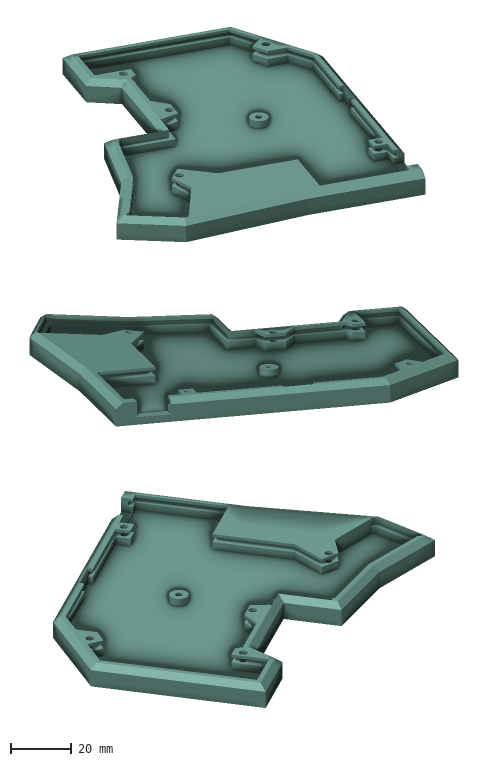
import cadquery as cq

floor_top = 2.0
seam = 5.0
chamfer_start = 6.0
flange_bottom = 7.0
top = 8.0
cable_gap_floor = 2.6

rim_width = 2.3
wall_width = 4.0

tray_hole_d = 2.6
cover_hole_d = 3.0
standoff_d = 6.5
standoff_at = (61.5, 72.6)
screws_at = [(18.3, 91.6), (98.0, 101.0), (21.5, 39.8), (51.5, 44.6), (97.2, 30.7)]

right_x = 124.9
back_y = 107.4
leg_x = 62.8
palm_y = 37.0
outline = [
    (0, 26.4),
    (21.9, 26.4),
    (27.5, palm_y),
    (leg_x, palm_y),
    (leg_x, 17.1),
    (91.9, 12.0),
    (118.8, 0),
    (128.9, 20.9),
    (right_x, 65.5),
    (right_x, back_y),
    (30.0, back_y),
    (0, 86.4),
]
inner_back_y = back_y - wall_width
inner_palm_y = palm_y + wall_width

tab_overlap = 1.4
back_root = inner_back_y + tab_overlap
palm_root = inner_palm_y - tab_overlap
left_tab = [(10.3, 94.1), (13.7, 91.6), (18.0, 86.9), (23.2, 90.4), (23.2, 100.5)]
back_tab = [(95.6, back_root), (95.6, 98.3), (100.5, 98.3), (100.5, back_root)]
corner_tab = [
    (19.2, 29.0),
    (19.2, 43.3),
    (23.7, 43.3),
    (25.1, inner_palm_y),
    (28.4, palm_root),
    (21.9, 29.0),
]
palm_tab = [
    (43.0, inner_palm_y),
    (47.8, 46.4),
    (54.9, 46.4),
    (56.5, inner_palm_y),
    (56.5, palm_root),
    (43.0, palm_root),
]

plate_left = 100.4
plate_back = 71.4
plate_step = 43.2
skirt_start = (106.8, 31.2)
skirt_end = (127.3, 22.3)
thumb_plate = [
    (right_x, plate_back),
    (plate_left, plate_back),
    (plate_left, plate_step),
    (92.5, 31.7),
    (98.2, 27.6),
    skirt_start,
    skirt_end,
]
skirt_width = 1.7

cable_gap = (105.7, 117.7)
port = (55.5, 66.2)

bare_palm_start = 56.7
bare_leg_end = 21.1
bare_side = [skirt_start, (116.8, 4.4), (119.9, 3.1), (128.9, 19.3), skirt_end]

insert_back = 67.0
insert_right = right_x - wall_width
insert_lip = 0.5
insert_recess = 0.5


def prism(points, z0, z1):
    return cq.Workplane("XY").workplane(offset=z0).polyline(points).close().extrude(z1 - z0)


def inset_prism(distance, z0, z1):
    """Prism of the outline moved inward, with sharp corners."""
    sketch = cq.Workplane("XY").workplane(offset=z0).polyline(outline).close()
    return sketch.offset2D(-distance, "intersection").extrude(z1 - z0)


def bevelled_prism(points):
    """Cover-high prism with all its upper edges chamfered."""
    return prism(points, seam, top).faces(">Z").edges().chamfer(top - chamfer_start, rim_width)


def block(x_range, y_range, z_range):
    (x0, x1), (y0, y1), (z0, z1) = x_range, y_range, z_range
    return cq.Workplane("XY").box(x1 - x0, y1 - y0, z1 - z0, centered=False).translate((x0, y0, z0))


def drill(body, points, diameter, z0, z1):
    holes = cq.Workplane("XY").workplane(offset=z0).pushPoints(points).circle(diameter / 2)
    return body.cut(holes.extrude(z1 - z0))


def add_tabs(body, z0, z1):
    """Screw tabs and the thumb plate, ending where the board slot ends."""
    limit = inset_prism(rim_width, z0, z1)
    for tab in (left_tab, back_tab, corner_tab, palm_tab, thumb_plate):
        body = body.union(prism(tab, z0, z1).intersect(limit))
    return body


def cut_openings(body, gap_floor, z0, z1):
    """Port recess up to the back of the board slot, and cable gap right through the back wall."""
    body = body.cut(block(port, (inner_back_y, back_y - rim_width), (z0, z1)))
    return body.cut(block(cable_gap, (inner_back_y, back_y), (gap_floor, z1)))


def make_insert():
    width_range = (plate_left, insert_right)
    body = block(width_range, (plate_step, insert_back), (floor_top, seam))
    recess = block(
        (plate_left + insert_lip, insert_right - insert_lip),
        (plate_step + insert_lip, insert_back),
        (seam - insert_recess, seam),
    )
    return body.cut(recess)


def make_tray(insert):
    body = prism(outline, 0, seam).cut(inset_prism(wall_width, floor_top, seam))
    body = add_tabs(body, floor_top, seam)
    standoff = cq.Workplane("XY").workplane(offset=floor_top).center(*standoff_at).circle(standoff_d / 2)
    body = body.union(standoff.extrude(seam - floor_top))
    body = cut_openings(body, cable_gap_floor, floor_top, seam)
    body = drill(body, screws_at + [standoff_at], tray_hole_d, floor_top, seam)
    return body.cut(insert)


def make_cover_shell():
    """Chamfered rim with its flange; the short end past the cable gap stays square at the back."""
    square_outline = [(x, y + rim_width if y == back_y else y) for x, y in outline]
    square_end = block((cable_gap[1], right_x), (inner_back_y, back_y), (seam, top))
    shell = bevelled_prism(outline).union(bevelled_prism(square_outline).intersect(square_end))
    shell = shell.cut(inset_prism(rim_width, seam, flange_bottom))
    return shell.cut(inset_prism(wall_width, flange_bottom, top))


def trim_bare_rim(body):
    inside_rim = inset_prism(rim_width, seam, top)
    palm_and_leg = block(
        (bare_palm_start, leg_x + wall_width), (bare_leg_end, inner_palm_y), (seam, top)
    )
    for stretch in (palm_and_leg, prism(bare_side, seam, top)):
        body = body.cut(stretch.intersect(inside_rim))
    return body


def make_skirt():
    """Wall that closes the board slot along the front edge of the thumb plate."""
    (x0, y0), (x1, y1) = skirt_start, skirt_end
    strip = [(x0, y0), (x1, y1), (x1, y1 + skirt_width), (x0, y0 + skirt_width)]
    return prism(strip, seam, top).intersect(inset_prism(rim_width, seam, top))


def make_cover():
    body = trim_bare_rim(make_cover_shell())
    body = add_tabs(body, flange_bottom, top)
    body = body.union(make_skirt())
    body = cut_openings(body, seam, seam, top)
    return drill(body, screws_at, cover_hole_d, flange_bottom, top)


insert = make_insert()
tray = make_tray(insert)
cover = make_cover()
result = cq.Compound.makeCompound([body.solids().val() for body in (tray, cover, insert)])